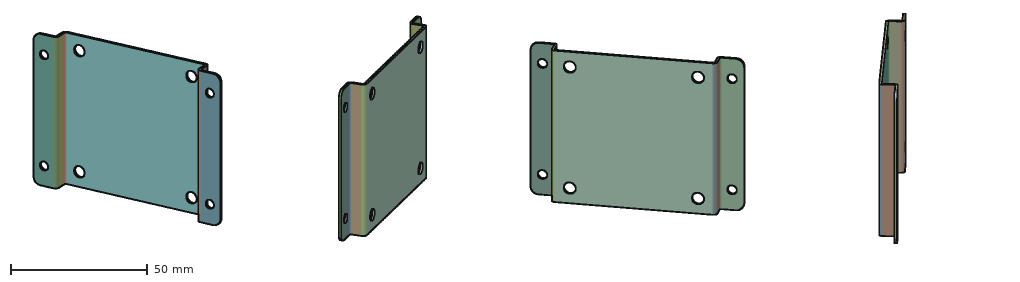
import cadquery as cq

width = 80.0
depth = 7.0
height = 60.0

thickness = 1.0
bend_inner_radius = 0.5
bend_outer_radius = bend_inner_radius + thickness
panel_width = 62.0

corner_radius = 3.0
flange_hole_diameter = 3.5
flange_hole_spacing_x = 71.0
flange_hole_spacing_z = 44.0
panel_hole_diameter = 4.5
panel_hole_spacing = 48.0

wall_outer_x = panel_width / 2
wall_inner_x = wall_outer_x - thickness


def block(size_x, y_start, y_end):
    """Full-height box centred on X and Z, between two Y positions."""
    size_y = y_end - y_start
    return cq.Workplane("XY").box(size_x, size_y, height).translate((0, y_start + size_y / 2, 0))


def bent_sheet():
    """Hat-shaped sheet: two flanges, two walls and the panel, with rounded bends."""
    hat = block(panel_width, 0, depth)
    flanges = block(width, 0, thickness)
    channel = block(2 * wall_inner_x, 0, depth - thickness)
    sheet = hat.union(flanges).cut(channel)
    sheet = round_bends(sheet, wall_outer_x, depth, bend_outer_radius)
    sheet = round_bends(sheet, wall_inner_x, depth - thickness, bend_inner_radius)
    sheet = round_bends(sheet, wall_outer_x, thickness, bend_inner_radius)
    sheet = round_bends(sheet, wall_inner_x, 0, bend_outer_radius)
    return round_flange_corners(sheet)


def round_bends(sheet, x, y, radius):
    """Round the pair of vertical edges at (-x, y) and (x, y)."""
    for side in (-1, 1):
        edge = cq.selectors.NearestToPointSelector((side * x, y, 0))
        sheet = sheet.edges("|Z").edges(edge).fillet(radius)
    return sheet


def round_flange_corners(sheet):
    """Round the four outer corners of the flanges."""
    return sheet.faces("<X or >X").edges("|Y").fillet(corner_radius)


def hole_grid(spacing_x, spacing_z, diameter):
    """Four round cutters along Y, at the corners of a centred rectangle."""
    return (
        cq.Workplane("XZ")
        .rect(spacing_x, spacing_z, forConstruction=True)
        .vertices()
        .circle(diameter / 2)
        .extrude(-depth)
    )


flange_holes = hole_grid(flange_hole_spacing_x, flange_hole_spacing_z, flange_hole_diameter)
panel_holes = hole_grid(panel_hole_spacing, panel_hole_spacing, panel_hole_diameter)

result = bent_sheet().cut(flange_holes).cut(panel_holes)